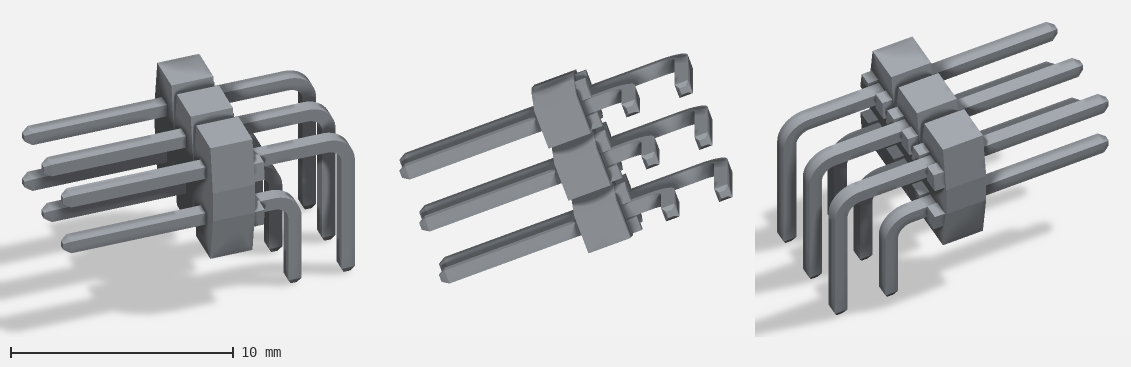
import cadquery as cq
import math

pitch = 2.54
column_count = 3
column_places = [(i - (column_count - 1) / 2) * pitch for i in range(column_count)]
row_height = pitch / 2

total_depth = 13.87
total_height = 9.05

body_width = column_count * pitch
body_height = 6.13
body_depth = 2.01
body_half_height = body_height / 2
end_half_width_at_top = 0.95
knee_height = 0.78
notch_floor_height = 0.87
notch_floor_width = 0.1
notch_mouth_width = 0.72

foot_depth = 0.51
foot_inset = 0.11
foot_inner_gap = 0.05
foot_bottom = 0.83
foot_top = 1.73

pin_width = 0.64
pin_half_width = pin_width / 2
bend_radius = 1.0
tip_length = 0.32
tip_end_width = 0.3
tip_angle = math.degrees(math.atan((pin_width - tip_end_width) / 2 / tip_length))
rear_reach = 5.12
pin_rear = body_depth + rear_reach
pin_front = pin_rear - total_depth
pin_bottom = body_half_height - total_height


def end_half_width(height):
    """Distance from an end column to the sloping end of the body at a height."""
    lean = (pitch / 2 - end_half_width_at_top) / (body_half_height - knee_height)
    return pitch / 2 - lean * (height - knee_height)


def extrude_back(points, start, depth):
    """Prism with an XZ outline, running towards +Y from Y = start."""
    plane = cq.Plane(origin=(0, start, 0), xDir=(1, 0, 0), normal=(0, -1, 0))
    return cq.Workplane(plane).polyline(points).close().extrude(-depth)


def make_notch(center):
    """V-shaped notch between two cells, open at the top of the body."""
    mouth_half_width = notch_mouth_width / 2
    floor_half_width = notch_floor_width / 2
    outline = [
        (center - floor_half_width, notch_floor_height),
        (center + floor_half_width, notch_floor_height),
        (center + mouth_half_width, body_half_height),
        (center - mouth_half_width, body_half_height),
    ]
    return extrude_back(outline, 0, body_depth)


def make_body():
    side = body_width / 2
    top_side = column_places[-1] + end_half_width_at_top
    outline = [
        (-top_side, -body_half_height),
        (top_side, -body_half_height),
        (side, -knee_height),
        (side, knee_height),
        (top_side, body_half_height),
        (-top_side, body_half_height),
        (-side, knee_height),
        (-side, -knee_height),
    ]
    body = extrude_back(outline, 0, body_depth)
    for left_column in column_places[:-1]:
        notch = make_notch(left_column + pitch / 2)
        body = body.cut(notch).cut(notch.mirror("XY"))
    return body


def make_foot(column):
    """Upper foot on the +X side of a column; its outer side leans like the body ends."""
    inner = column + pin_half_width + foot_inner_gap
    outline = [
        (inner, foot_bottom),
        (column + end_half_width(foot_bottom) - foot_inset, foot_bottom),
        (column + end_half_width(foot_top) - foot_inset, foot_top),
        (inner, foot_top),
    ]
    return extrude_back(outline, body_depth, foot_depth)


def pin_section(plane, center):
    return cq.Workplane(plane, origin=center).rect(pin_width, pin_width)


def make_pin(column, height, rear):
    """Pin pointing to -Y, bent down at the rear, with a tapered tip at both ends."""
    leg_place = rear - pin_half_width
    front_end = pin_front + tip_length
    bottom_end = pin_bottom + tip_length
    bend_start = (leg_place - bend_radius, height)
    bend_end = (leg_place, height - bend_radius)
    path = (
        cq.Workplane("YZ", origin=(column, 0, 0))
        .moveTo(front_end, height)
        .lineTo(*bend_start)
        .tangentArcPoint(bend_end, relative=False)
        .lineTo(leg_place, bottom_end)
    )
    front_center = (column, front_end, height)
    bottom_center = (column, leg_place, bottom_end)
    wire = pin_section("XZ", front_center).sweep(path)
    front_tip = pin_section("XZ", front_center).extrude(tip_length, taper=tip_angle)
    bottom_tip = pin_section("XY", bottom_center).extrude(-tip_length, taper=tip_angle)
    return wire.union(front_tip).union(bottom_tip)


result = make_body()

for column in column_places:
    upper_right_foot = make_foot(column)
    upper_left_foot = upper_right_foot.mirror("YZ", (column, 0, 0))
    for foot in (upper_right_foot, upper_left_foot):
        result = result.union(foot).union(foot.mirror("XY"))

    result = result.union(make_pin(column, row_height, pin_rear))
    result = result.union(make_pin(column, -row_height, pin_rear - pitch))